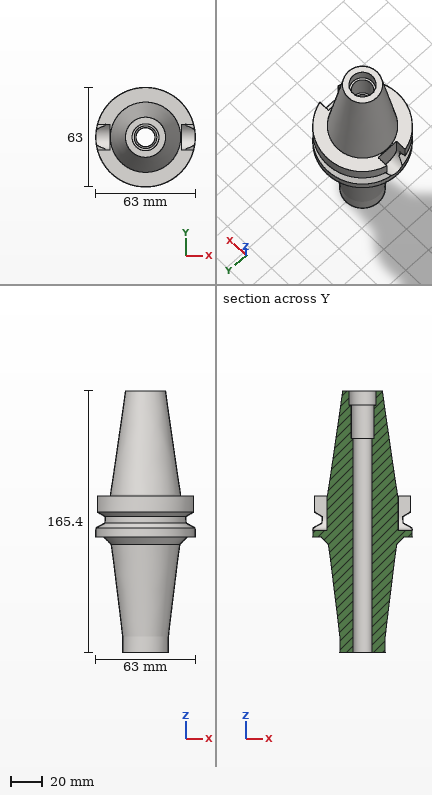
import cadquery as cq

gauge_diameter = 44.45
taper_length = 65.4
taper_ratio = 7 / 24
small_end_diameter = gauge_diameter - taper_ratio * taper_length

flange_diameter = 63.0
flange_top_z = -1.0
flange_bottom_z = -27.0
groove_diameter = 53.5
groove_mouth_top_z = -11.2
groove_mouth_bottom_z = -21.15
groove_wall_height = 2.95

nose_length = 100.0
nose_diameter = 29.0
nose_tip_length = 10.0
nose_cone_diameter = 43.5
collar_top_diameter = 52.8
collar_height = (collar_top_diameter - nose_cone_diameter) / 2

slot_width = 16.1
slot_floor_x = 22.6
slot_bottom_z = -22.6

entry_bore_diameter = 17.0
entry_bore_depth = 9.1
middle_bore_diameter = 14.25
middle_bore_depth = 30.0
through_bore_diameter = 11.9


def revolved_body():
    """Solid of revolution: taper, flange, gripper groove and nose."""
    outline = [
        (small_end_diameter, taper_length),
        (gauge_diameter, 0),
        (gauge_diameter, flange_top_z),
        (flange_diameter, flange_top_z),
        (flange_diameter, groove_mouth_top_z),
        (groove_diameter, groove_mouth_top_z - groove_wall_height),
        (groove_diameter, groove_mouth_bottom_z + groove_wall_height),
        (flange_diameter, groove_mouth_bottom_z),
        (flange_diameter, flange_bottom_z),
        (collar_top_diameter, flange_bottom_z),
        (nose_cone_diameter, flange_bottom_z - collar_height),
        (nose_diameter, nose_tip_length - nose_length),
        (nose_diameter, -nose_length),
    ]
    profile = [(diameter / 2, z) for diameter, z in outline]
    profile = [(0, taper_length)] + profile + [(0, -nose_length)]
    return cq.Workplane("YZ").polyline(profile).close().revolve(360, (0, 0), (0, 1))


def key_slot(side):
    """Round-bottomed key slot cutter; side is -1 or +1 along X."""
    half_width = slot_width / 2
    arc_center_z = slot_bottom_z + half_width
    return (
        cq.Workplane("YZ", origin=(side * slot_floor_x, 0, 0))
        .moveTo(-half_width, flange_top_z)
        .lineTo(-half_width, arc_center_z)
        .threePointArc((0, slot_bottom_z), (half_width, arc_center_z))
        .lineTo(half_width, flange_top_z)
        .close()
        .extrude(side * flange_diameter / 2)
    )


def bore_from_top(diameter, depth):
    """Cylindrical cutter going down from the small end of the taper."""
    top = cq.Workplane("XY", origin=(0, 0, taper_length))
    return top.circle(diameter / 2).extrude(-depth)


result = revolved_body()
for slot_side in (-1, 1):
    result = result.cut(key_slot(slot_side))
result = result.cut(bore_from_top(entry_bore_diameter, entry_bore_depth))
result = result.cut(bore_from_top(middle_bore_diameter, middle_bore_depth))
result = result.cut(bore_from_top(through_bore_diameter, taper_length + nose_length))